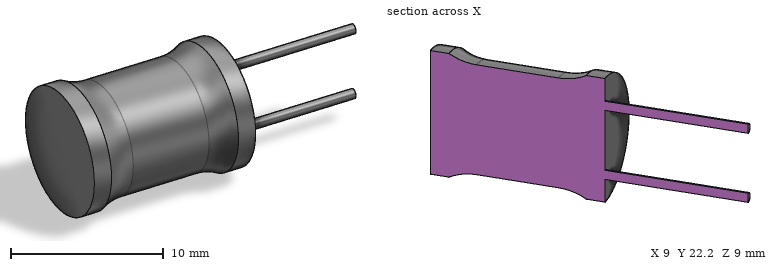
import cadquery as cq
import math

body_length = 12.2
flange_radius = 4.5
waist_radius = 4.0
flange_thickness = 1.3
flare_radius = 4.0

lead_diameter = 0.7
lead_length = 10.0
lead_pitch = 5.0


def flare_rise(angle):
    """Radial rise of the flare arc after turning by angle from the waist."""
    return flare_radius * (1 - math.cos(angle))


def make_body():
    """Revolve the half profile: flange, flare, waist, flare, flange."""
    flare_angle = math.acos(1 - (flange_radius - waist_radius) / flare_radius)
    flare_length = flare_radius * math.sin(flare_angle)
    mid_angle = flare_angle / 2
    mid_radius = waist_radius + flare_rise(mid_angle)
    mid_offset = flare_radius * math.sin(mid_angle)

    front_flange_end = flange_thickness
    waist_start = front_flange_end + flare_length
    back_flange_start = body_length - flange_thickness
    waist_end = back_flange_start - flare_length

    return (
        cq.Workplane("XY")
        .lineTo(flange_radius, 0)
        .lineTo(flange_radius, front_flange_end)
        .threePointArc((mid_radius, waist_start - mid_offset), (waist_radius, waist_start))
        .lineTo(waist_radius, waist_end)
        .threePointArc((mid_radius, waist_end + mid_offset), (flange_radius, back_flange_start))
        .lineTo(flange_radius, body_length)
        .lineTo(0, body_length)
        .close()
        .revolve(360, (0, 0, 0), (0, 1, 0))
    )


def make_lead(height):
    """Round lead at the given Z, starting on the back face of the body."""
    back_face_center = cq.Vector(0, body_length, height)
    lead = cq.Solid.makeCylinder(lead_diameter / 2, lead_length, back_face_center, cq.Vector(0, 1, 0))
    return cq.Workplane(obj=lead)


result = make_body()
for side in (-1, 1):
    result = result.union(make_lead(side * lead_pitch / 2))